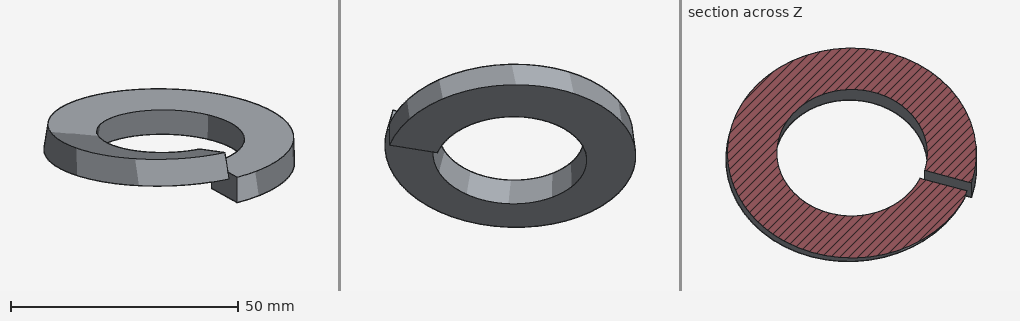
import cadquery as cq
import math

outer_radius = 27.6
bar_width = 10.9
bar_height = 5.95
rise = bar_height
end_tilt = math.radians(13)

low_end_y = 0.55
high_end_y = -1.55
end_face_lean = bar_height * rise / (2 * math.pi * outer_radius)

curve_points = 49


def corner_point(inward, upward, turn):
    """Position of one section corner after the given fraction of the winding."""
    tilt = end_tilt * turn
    radius = outer_radius - inward * math.cos(tilt) - upward * math.sin(tilt)
    z = rise * turn - inward * math.sin(tilt) + upward * math.cos(tilt)

    end_radius = outer_radius - inward * math.cos(end_tilt) - upward * math.sin(end_tilt)
    end_y = high_end_y - end_face_lean * upward / bar_height
    start_angle = math.asin(low_end_y / (outer_radius - inward))
    end_angle = 2 * math.pi + math.asin(end_y / end_radius)
    angle = start_angle + (end_angle - start_angle) * turn
    return cq.Vector(radius * math.cos(angle), radius * math.sin(angle), z)


def corner_curve(inward, upward):
    """Smooth helical edge traced by one corner of the section."""
    turns = [i / (curve_points - 1) for i in range(curve_points)]
    return cq.Edge.makeSpline([corner_point(inward, upward, turn) for turn in turns])


def end_face(turn):
    """Four-sided ruled face closing one end of the bar."""
    points = [corner_point(inward, upward, turn) for inward, upward in section_corners]
    lower = cq.Edge.makeLine(points[0], points[1])
    upper = cq.Edge.makeLine(points[3], points[2])
    return cq.Face.makeRuledSurface(lower, upper)


section_corners = [(0, 0), (bar_width, 0), (bar_width, bar_height), (0, bar_height)]
edges = [corner_curve(inward, upward) for inward, upward in section_corners]

sides = [cq.Face.makeRuledSurface(edges[i - 1], edges[i]) for i in range(len(edges))]
ends = [end_face(0), end_face(1)]
shell = cq.Shell.makeShell(sides + ends)
result = cq.Workplane("XY").newObject([cq.Solid.makeSolid(shell).fix()])